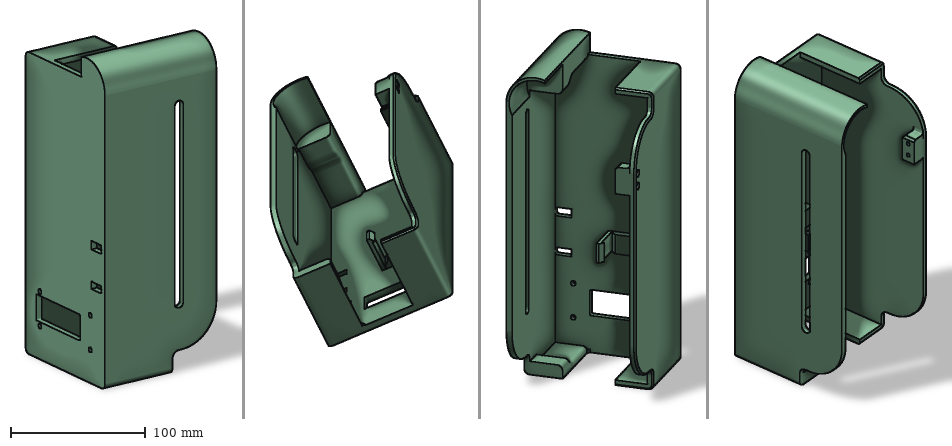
import cadquery as cq
import math

width = 101.5
depth = 101.5
height = 254.6
wall = 4.5
right_wall_x = width - wall
front_wall = 5.0
body_top = 237.8
corner_radius = 4.5

opening_left = 30.0
opening_right = 71.3

hook_radius = 23.0
hook_bore_radius = 20.5
hook_x = width - hook_radius
hook_z = height - hook_radius
hook_edge_z = hook_z + math.sqrt(hook_radius**2 - (hook_x - opening_right) ** 2)

flange_rise = 6.0
flange_ramp_start = 35.5
flange_ramp_end = 49.0
flange_edge_radius = 4.3
flange_gusset = 2.0

box_depth = 61.5
tab_bottom = 17.5
tab_radius = 32.0
tab_root_radius = 5.5
edge_chamfer = 1.3

margin = 0.3

window_left, window_right = 13.5, 69.8
window_bottom, window_top = 29.5, 50.2
window_radius = 1.3
screw_hole_diameter = 3.8
screw_hole_xs = (18.3, 82.8)
screw_hole_zs = (26.2, 53.5)
port_left = 84.3
port_radius = 1.5
ports = ((74.5, 5.9), (105.7, 7.0))

slot_width = 7.6
slot_y = 67.5
slot_bottom, slot_top = 51.0, 214.0

block_size = 11.2
block_bottom, block_top = 170.3, 191.7
block_chamfer = 1.8
block_foot_radius = 2.8
block_hole_y = depth - block_size / 2
block_hole_zs = (176.5, 186.6)
block_hole_diameter = 3.0
block_bore_diameter = 5.5

holder_bottom, holder_top = 84.0, 99.3
rest_left, rest_right = 23.0, 51.5
rest_height = 6.0
rest_chamfer = 3.8
clip_left, clip_right = 52.0, 55.0
clip_end = 32.5
clip_barb = 2.0
clip_barb_y = 29.0


def box(x0, x1, y0, y1, z0, z1):
    """Box between two opposite corners."""
    return cq.Workplane("XY").box(x1 - x0, y1 - y0, z1 - z0, centered=False).translate((x0, y0, z0))


def outer_body():
    """Housing outline with the hook, as a solid bar."""
    crown = hook_radius * math.sqrt(0.5)
    body = (
        cq.Workplane("XZ")
        .lineTo(width, 0)
        .lineTo(width, hook_z)
        .threePointArc((hook_x + crown, hook_z + crown), (opening_right, hook_edge_z))
        .lineTo(opening_right, body_top)
        .lineTo(0, body_top)
        .close()
        .extrude(-depth)
    )
    body = body.edges("|Y and <X").fillet(corner_radius)
    return body.edges("|Y").edges(">X and <Z").fillet(corner_radius)


def bottom_flange():
    """Lip beside the opening that sweeps up towards the rear, with a rounded free edge."""
    high = wall + flange_rise
    run = flange_ramp_end - flange_ramp_start
    ramp_radius = (run**2 + flange_rise**2) / (4 * flange_rise)
    half_angle = math.atan2(flange_rise, run)
    arc_run = ramp_radius * math.sin(half_angle)
    arc_rise = ramp_radius * (1 - math.cos(half_angle))
    lip = (
        cq.Workplane("YZ", origin=(opening_right, 0, 0))
        .lineTo(0, wall)
        .lineTo(flange_ramp_start, wall)
        .threePointArc(
            (flange_ramp_start + arc_run, wall + arc_rise),
            (flange_ramp_start + run / 2, wall + flange_rise / 2),
        )
        .threePointArc((flange_ramp_end - arc_run, high - arc_rise), (flange_ramp_end, high))
        .lineTo(box_depth, high)
        .lineTo(box_depth, 0)
        .close()
        .extrude(right_wall_x - opening_right)
    )
    free_edge = cq.selectors.BoxSelector(
        (opening_right - margin, margin, margin),
        (opening_right + margin, box_depth - margin, high + margin),
    )
    return lip.edges(free_edge).fillet(flange_edge_radius)


def hook_flange():
    """The same lip mirrored to the top of the housing, below the hook."""
    return bottom_flange().mirror("XY", (0, 0, body_top / 2))


def gusset():
    """Small triangular corner between the bottom flange and the front plate."""
    return (
        cq.Workplane("XY")
        .polyline([
            (opening_right, front_wall),
            (opening_right - flange_gusset, front_wall),
            (opening_right, front_wall + flange_gusset),
        ])
        .close()
        .extrude(wall - flange_edge_radius / 2)
    )


def cavity():
    """Inside of the housing, open to the rear."""
    inside = box(wall, right_wall_x, front_wall, depth, wall, body_top - wall)
    opening = box(opening_left, right_wall_x, front_wall, depth, 0, body_top)
    return inside.union(opening).cut(hook_flange()).cut(bottom_flange())


def hook_bore():
    """Cylindrical hollow in the rear part of the hook."""
    return (
        cq.Workplane("XZ", origin=(hook_x, box_depth, hook_z))
        .circle(hook_bore_radius)
        .extrude(box_depth - depth)
    )


def rear_trim(x0, x1, upper):
    """Material removed behind the bottom wall, and behind the top wall if upper is set."""

    def corner():
        diagonal = 1 - math.sqrt(0.5)
        root = tab_root_radius * diagonal
        tip = tab_radius * diagonal
        return (
            cq.Workplane("YZ", origin=(x0, 0, 0))
            .moveTo(box_depth, 0)
            .lineTo(box_depth, tab_bottom - tab_root_radius)
            .threePointArc(
                (box_depth + root, tab_bottom - root), (box_depth + tab_root_radius, tab_bottom)
            )
            .lineTo(depth - tab_radius, tab_bottom)
            .threePointArc((depth - tip, tab_bottom + tip), (depth, tab_bottom + tab_radius))
            .lineTo(depth, 0)
            .close()
            .extrude(x1 - x0)
        )

    trim = corner()
    if upper:
        trim = trim.union(corner().mirror("XY", (0, 0, body_top / 2)))
    return trim


def plate_openings():
    """Window, screw holes and ports through the front plate."""
    def opening(x0, x1, z0, z1):
        return box(x0, x1, 0, front_wall, z0, z1)

    cuts = opening(window_left, window_right, window_bottom, window_top).edges("|Y").fillet(window_radius)
    for bottom, port_height in ports:
        port = opening(port_left, right_wall_x, bottom, bottom + port_height)
        cuts = cuts.union(port.edges("|Y and >X").fillet(port_radius))
    centres = [(x, z) for x in screw_hole_xs for z in screw_hole_zs]
    holes = cq.Workplane("XZ").pushPoints(centres).circle(screw_hole_diameter / 2).extrude(-front_wall)
    return cuts.union(holes)


def wall_slot():
    """Vertical slot with round ends through the right wall."""
    return (
        cq.Workplane("YZ", origin=(right_wall_x, 0, 0))
        .center(slot_y, (slot_bottom + slot_top) / 2)
        .slot2D(slot_top - slot_bottom, slot_width, 90)
        .extrude(wall)
    )


def screw_block():
    """Block on the inside of the left tab, chamfered on its free edges."""
    block = box(wall, wall + block_size, depth - block_size, depth, block_bottom, block_top)
    return block.faces(">Z").edges(">X or <Y").chamfer(block_chamfer)


def screw_block_foot():
    """Concave fillet between the top of the screw block and the tab."""
    radius = block_foot_radius
    middle = radius * (1 - math.sqrt(0.5))
    return (
        cq.Workplane("XZ", origin=(wall, depth, block_top))
        .lineTo(0, radius)
        .threePointArc((middle, middle), (radius, 0))
        .close()
        .extrude(block_size - block_chamfer)
    )


def screw_block_holes():
    """Screw holes through the left tab and its block, widened in the tab."""
    centres = [(block_hole_y, z) for z in block_hole_zs]
    plane = cq.Workplane("YZ").pushPoints(centres)
    holes = plane.circle(block_hole_diameter / 2).extrude(wall + block_size)
    return holes.union(plane.circle(block_bore_diameter / 2).extrude(wall))


def board_holder():
    """Rest and snap clip standing on the front plate."""
    rest_y = front_wall + rest_height
    base = cq.Workplane("XY", origin=(0, 0, holder_bottom))
    length = holder_top - holder_bottom
    rest = base.polyline([
        (rest_left, front_wall),
        (rest_right, front_wall),
        (rest_right, rest_y - rest_chamfer),
        (rest_right - rest_chamfer, rest_y),
        (rest_left, rest_y),
    ]).close().extrude(length)
    clip = base.polyline([
        (clip_left, front_wall),
        (clip_right, front_wall),
        (clip_right, clip_end),
        (clip_right - clip_barb, clip_end),
        (clip_left - clip_barb, clip_barb_y),
        (clip_left, clip_barb_y),
    ]).close().extrude(length)
    return rest.union(clip)


def chamfer_rear_rim(body):
    """Bevel the outer rim of the left tab and of the walls that adjoin it."""
    rim = cq.selectors.BoxSelector(
        (-margin, box_depth - margin, 0), (margin, depth + margin, body_top)
    )
    return body.edges(rim).edges("<X").chamfer(edge_chamfer)


shell = outer_body().cut(cavity()).cut(hook_bore())
shell = shell.cut(rear_trim(0, opening_right, True)).cut(rear_trim(opening_right, width, False))
shell = chamfer_rear_rim(shell)

result = (
    shell.union(screw_block())
    .union(screw_block_foot())
    .union(gusset())
    .union(board_holder())
    .cut(screw_block_holes())
    .cut(plate_openings())
    .cut(wall_slot())
)